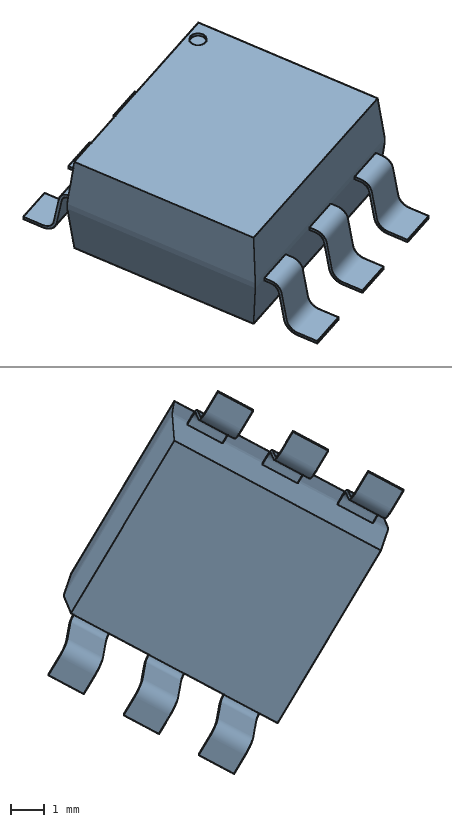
import cadquery as cq
import math

span_x = 10.16
height = 3.61

body_x = 6.5
body_y = 7.29
band_height = 0.2
taper_inset = 0.15
standoff = 0.1

lead_thickness = 0.1
lead_width = 1.2
lead_pitch = 2.54
leads_per_side = 3
inner_radius = 0.28
bend_radius = inner_radius + lead_thickness
foot_length = 0.67
bend_angle = math.radians(80)

mark_diameter = 0.51
mark_depth = 0.1
mark_from_side = 0.52
mark_from_end = 0.77

taper_height = (height - standoff - band_height) / 2
band_bottom = standoff + taper_height
taper_angle = math.degrees(math.atan(taper_inset / taper_height))


def make_body():
    band = cq.Workplane("XY").workplane(offset=band_bottom).rect(body_x, body_y).extrude(band_height)
    upper = band.faces(">Z").workplane().rect(body_x, body_y).extrude(taper_height, taper=taper_angle)
    return upper.faces("<Z").workplane().rect(body_x, body_y).extrude(taper_height, taper=taper_angle)


def bend_point(center, radius, angle):
    """Point on a bend, with the angle measured from straight up towards +X."""
    return center[0] + radius * math.sin(angle), center[1] + radius * math.cos(angle)


def make_lead(y):
    """Lead on the +X side, drawn along its upper surface and back along its lower one."""
    tip = span_x / 2
    lead_top = band_bottom
    lead_bottom = lead_top - lead_thickness
    root = body_x / 2 - taper_inset

    bend_drop = 2 * bend_radius * (1 - math.cos(bend_angle))
    leg_drop = lead_top - lead_thickness - bend_drop
    bend_run = 2 * bend_radius * math.sin(bend_angle)
    foot_start = tip - foot_length
    shoulder_end = foot_start - bend_run - leg_drop / math.tan(bend_angle)
    upper_center = (shoulder_end, lead_top - bend_radius)
    lower_center = (foot_start, lead_thickness + bend_radius)

    def upper(radius, angle):
        return bend_point(upper_center, radius, angle)

    def lower(radius, angle):
        return bend_point(lower_center, -radius, angle)

    lower_outside = bend_radius + lead_thickness
    half_bend = bend_angle / 2
    profile = (
        cq.Workplane("XZ", origin=(0, y + lead_width / 2, 0))
        .moveTo(root, lead_top)
        .lineTo(shoulder_end, lead_top)
        .threePointArc(upper(bend_radius, half_bend), upper(bend_radius, bend_angle))
        .lineTo(*lower(bend_radius, bend_angle))
        .threePointArc(lower(bend_radius, half_bend), lower(bend_radius, 0))
        .lineTo(tip, lead_thickness)
        .lineTo(tip, 0)
        .lineTo(foot_start, 0)
        .threePointArc(lower(lower_outside, half_bend), lower(lower_outside, bend_angle))
        .lineTo(*upper(inner_radius, bend_angle))
        .threePointArc(upper(inner_radius, half_bend), upper(inner_radius, 0))
        .lineTo(root, lead_bottom)
        .close()
    )
    return profile.extrude(lead_width)


def make_mark():
    x = -body_x / 2 + mark_from_side
    y = body_y / 2 - mark_from_end
    return (
        cq.Workplane("XY", origin=(x, y, height - mark_depth))
        .circle(mark_diameter / 2)
        .extrude(mark_depth)
    )


result = make_body().cut(make_mark())
for row in range(leads_per_side):
    lead = make_lead((row - (leads_per_side - 1) / 2) * lead_pitch)
    result = result.union(lead).union(lead.mirror("YZ"))